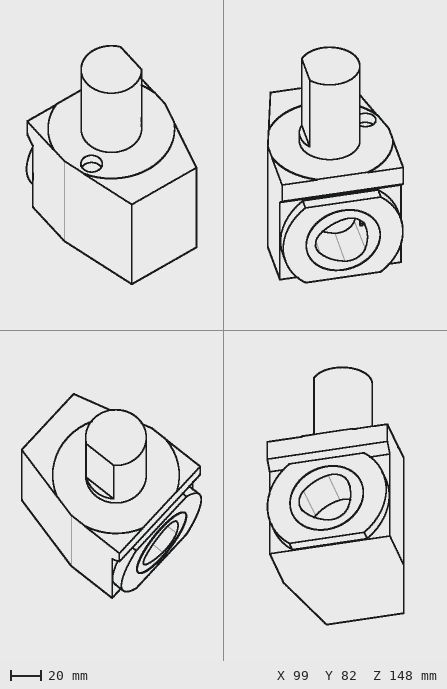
import cadquery as cq
import math


body_front_x = 59.2
lip_x = -38.0
recess_x = -31.7
taper_start_x = 3.8
body_half_width = 41.0
nose_half_width = 26.3
body_top_z = 84.7
lip_bottom_z = 70.9
recess_top_z = 65.0

pad_diameter = 83.5
pad_height = 0.5
pad_top_z = body_top_z + pad_height

total_height = 148.0
shank_diameter = 40.0
flat_y = 16.1
flat_bottom_z = 91.9

hole_diameter = 14.0
hole_depth = 7.5
hole_x = 16.1
hole_y = -27.8

bore_z = 32.1
flange_x = -39.4
flange_diameter = 81.1
flange_half_height = 31.5
face_x = -39.8
face_diameter = 50.0

lobe_reach = 18.8
flank_reach = 16.5
lobe_offset = 6.7
bore_depth = 29.6
bore_inset = 0.6

pin_diameter = 3.0
pin_depth = bore_depth / 2
pin_tip_y = -14.8
pin_root_y = -19.2


def make_body():
    plan = (
        cq.Workplane("XY")
        .moveTo(lip_x, -body_half_width)
        .lineTo(taper_start_x, -body_half_width)
        .lineTo(body_front_x, -nose_half_width)
        .lineTo(body_front_x, nose_half_width)
        .lineTo(taper_start_x, body_half_width)
        .lineTo(lip_x, body_half_width)
        .close()
        .extrude(pad_top_z)
    )
    pad = cq.Workplane("XY").circle(pad_diameter / 2).extrude(pad_top_z).intersect(plan)
    below_pad = cq.Workplane("XY").rect(4 * body_front_x, 4 * body_half_width).extrude(body_top_z)
    recess = (
        cq.Workplane("XZ")
        .moveTo(lip_x, 0)
        .lineTo(recess_x, 0)
        .lineTo(recess_x, recess_top_z)
        .lineTo(lip_x, lip_bottom_z)
        .close()
        .extrude(body_half_width, both=True)
    )
    return plan.intersect(below_pad).union(pad).cut(recess)


def make_shank():
    shank = (
        cq.Workplane("XY", origin=(0, 0, body_top_z))
        .circle(shank_diameter / 2)
        .extrude(total_height - body_top_z)
    )
    flat_cut = cq.Workplane("XY").box(
        shank_diameter, shank_diameter, total_height, centered=(True, False, False)
    )
    return shank.cut(flat_cut.translate((0, flat_y, flat_bottom_z)))


def side_plane(x):
    """YZ workplane centred on the bore axis, with its normal along +X."""
    return cq.Workplane("YZ", origin=(x, 0, bore_z))


def make_flange():
    length = recess_x - flange_x
    disc = side_plane(flange_x).circle(flange_diameter / 2).extrude(length)
    band = side_plane(flange_x).rect(flange_diameter, 2 * flange_half_height).extrude(length)
    face = side_plane(face_x).circle(face_diameter / 2).extrude(recess_x - face_x)
    return disc.intersect(band).union(face)


def bore_point(x, radius, angle):
    return cq.Vector(x, radius * math.cos(angle), bore_z + radius * math.sin(angle))


def lobed_wire(x, inset):
    """Six tangent arcs, shrunk by inset: three lobes, one pointing to +Y, joined by flanks."""
    reach_gap = lobe_reach - flank_reach
    flank_offset = reach_gap * (2 * lobe_offset - reach_gap) / (lobe_offset - 2 * reach_gap)
    normal_y = lobe_offset + flank_offset / 2
    normal_z = flank_offset * math.sqrt(3) / 2
    normal_angle = math.atan2(normal_z, normal_y)
    arc_radius = lobe_reach - inset - lobe_offset
    join_y = lobe_offset + arc_radius * math.cos(normal_angle)
    join_z = arc_radius * math.sin(normal_angle)
    join_radius = math.hypot(join_y, join_z)
    join_angle = math.atan2(join_z, join_y)

    third_turn = 2 * math.pi / 3
    edges = []
    for i in range(3):
        axis = i * third_turn
        lobe_start = bore_point(x, join_radius, axis - join_angle)
        lobe_tip = bore_point(x, lobe_reach - inset, axis)
        lobe_end = bore_point(x, join_radius, axis + join_angle)
        flank_middle = bore_point(x, flank_reach - inset, axis + third_turn / 2)
        next_start = bore_point(x, join_radius, axis + third_turn - join_angle)
        edges.append(cq.Edge.makeThreePointArc(lobe_start, lobe_tip, lobe_end))
        edges.append(cq.Edge.makeThreePointArc(lobe_end, flank_middle, next_start))
    return cq.Wire.assembleEdges(edges)


def make_bore():
    mouth = lobed_wire(face_x, 0)
    floor = lobed_wire(face_x + bore_depth, bore_inset)
    return cq.Workplane(obj=cq.Solid.makeLoft([mouth, floor], True))


def make_pin():
    return (
        cq.Workplane("XZ", origin=(face_x + pin_depth, pin_tip_y, bore_z))
        .circle(pin_diameter / 2)
        .extrude(pin_tip_y - pin_root_y)
    )


def make_hole():
    return (
        cq.Workplane("XY", origin=(hole_x, hole_y, pad_top_z - hole_depth))
        .circle(hole_diameter / 2)
        .extrude(hole_depth)
    )


result = make_body().union(make_shank()).union(make_flange())
result = result.cut(make_hole()).cut(make_bore()).union(make_pin())